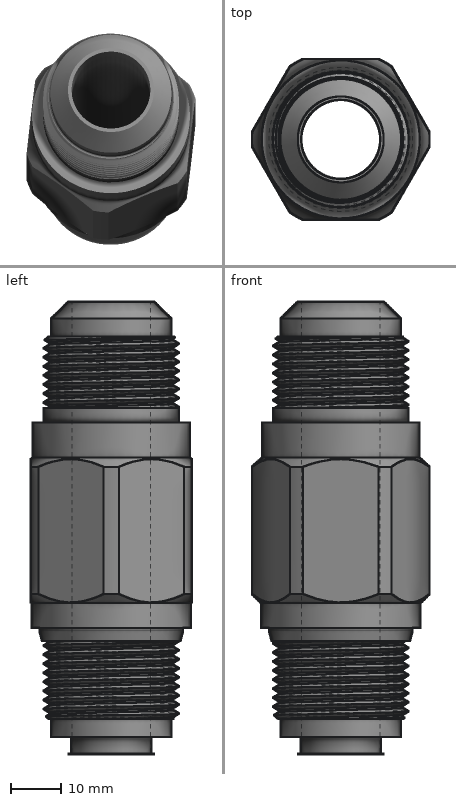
import cadquery as cq
import math

length = 90
bore_radius = 15.7 / 2

hex_flats = 32.0
hex_corner_radius = 35.4 / 2
hex_bottom = 30.1
hex_top = 58.95
hex_chamfer_height = 1.8

upper_shoulder_radius = 31.4 / 2
upper_shoulder_top = 66.0
lower_shoulder_radius = 31.8 / 2
lower_shoulder_bottom = 25.1

thread_radius = 27 / 2
root_radius = 12.4
thread_pitch = 1.8
tooth_base = 1.35
tooth_overlap = 0.2
lead_in_height = 1.2
crest_clearance = 0.3
upper_thread_bottom = 68.85
upper_thread_top = 83.1
upper_crest_height = 81.2
lower_thread_bottom = 7.0
lower_thread_top = 22.5
lower_crest_height = 20.25

collar_radius = 24.0 / 2
nose_radius = 17.1 / 2
nose_height = 3.4
collar_bottom = 3.4
neck_radius = 16.0 / 2
lip_height = 0.2

relief_top_radius = 28.6 / 2
relief_bottom_radius = 13.8
relief_band_height = 0.5


def revolved(outline):
    """Turn a closed (radius, height) outline about the Z axis."""
    return cq.Workplane("XZ").polyline(outline).close().revolve(360, (0, 0), (0, 1))


def cylinder(radius, bottom, top):
    return cq.Workplane("XY").workplane(offset=bottom).circle(radius).extrude(top - bottom)


def hex_body():
    corner_distance = hex_flats / math.cos(math.pi / 6)
    height = hex_top - hex_bottom
    prism = cq.Workplane("XY").workplane(offset=hex_bottom).polygon(6, corner_distance).extrude(height)
    envelope = revolved([
        (0, hex_bottom),
        (lower_shoulder_radius, hex_bottom),
        (hex_corner_radius, hex_bottom + hex_chamfer_height),
        (hex_corner_radius, hex_top - hex_chamfer_height),
        (upper_shoulder_radius, hex_top),
        (0, hex_top),
    ])
    return prism.intersect(envelope)


def helical_tooth(bottom, top, crest_height):
    """Triangular tooth running past both ends of the thread, with a crest at crest_height on -X."""
    turns_below = math.ceil((crest_height - bottom) / thread_pitch) + 1
    turns_above = math.ceil((top - crest_height) / thread_pitch) + 1
    start = crest_height - turns_below * thread_pitch
    run = (turns_below + turns_above) * thread_pitch
    base_radius = root_radius - tooth_overlap
    base_half = tooth_base / 2 * (thread_radius - base_radius) / (thread_radius - root_radius)
    path = cq.Workplane(cq.Wire.makeHelix(thread_pitch, run, root_radius))
    profile = cq.Workplane("XZ").polyline([
        (base_radius, -base_half),
        (thread_radius, 0),
        (base_radius, base_half),
    ]).close()
    tooth = profile.sweep(path, isFrenet=True)
    return tooth.rotate((0, 0, 0), (0, 0, 1), 180).translate((0, 0, start))


def thread(bottom, top, crest_height, free_end_up):
    """Core and helical tooth, trimmed to the thread length and tapered at its free end."""
    free_end, inner_end = (top, bottom) if free_end_up else (bottom, top)
    lead_in = free_end - lead_in_height if free_end_up else free_end + lead_in_height
    outer_radius = thread_radius + crest_clearance
    envelope = revolved([
        (0, inner_end),
        (outer_radius, inner_end),
        (outer_radius, lead_in),
        (root_radius, free_end),
        (0, free_end),
    ])
    core = cylinder(root_radius, bottom, top)
    tooth = helical_tooth(bottom, top, crest_height).intersect(envelope)
    return core.union(tooth)


def upper_fitting():
    """Shoulder, thread runout and coned nose above the hexagon."""
    shoulder = cylinder(upper_shoulder_radius, hex_top, upper_shoulder_top)
    runout = cylinder(thread_radius, upper_shoulder_top, upper_thread_bottom)
    nose = revolved([
        (0, upper_thread_top),
        (collar_radius, upper_thread_top),
        (collar_radius, length - nose_height),
        (nose_radius, length),
        (0, length),
    ])
    threaded = thread(upper_thread_bottom, upper_thread_top, upper_crest_height, True)
    return shoulder.union(runout).union(threaded).union(nose)


def lower_fitting():
    """Shoulder, relief cone, collar and lipped neck below the hexagon."""
    shoulder = cylinder(lower_shoulder_radius, lower_shoulder_bottom, hex_bottom)
    relief = revolved([
        (0, lower_thread_top),
        (relief_bottom_radius, lower_thread_top),
        (relief_top_radius, lower_shoulder_bottom - relief_band_height),
        (relief_top_radius, lower_shoulder_bottom),
        (0, lower_shoulder_bottom),
    ])
    threaded = thread(lower_thread_bottom, lower_thread_top, lower_crest_height, False)
    collar = cylinder(collar_radius, collar_bottom, lower_thread_bottom)
    neck = cylinder(neck_radius, 0, collar_bottom)
    lip = cylinder(nose_radius, 0, lip_height)
    return shoulder.union(relief).union(threaded).union(collar).union(neck).union(lip)


bore = cylinder(bore_radius, 0, length)
result = hex_body().union(upper_fitting()).union(lower_fitting()).cut(bore)